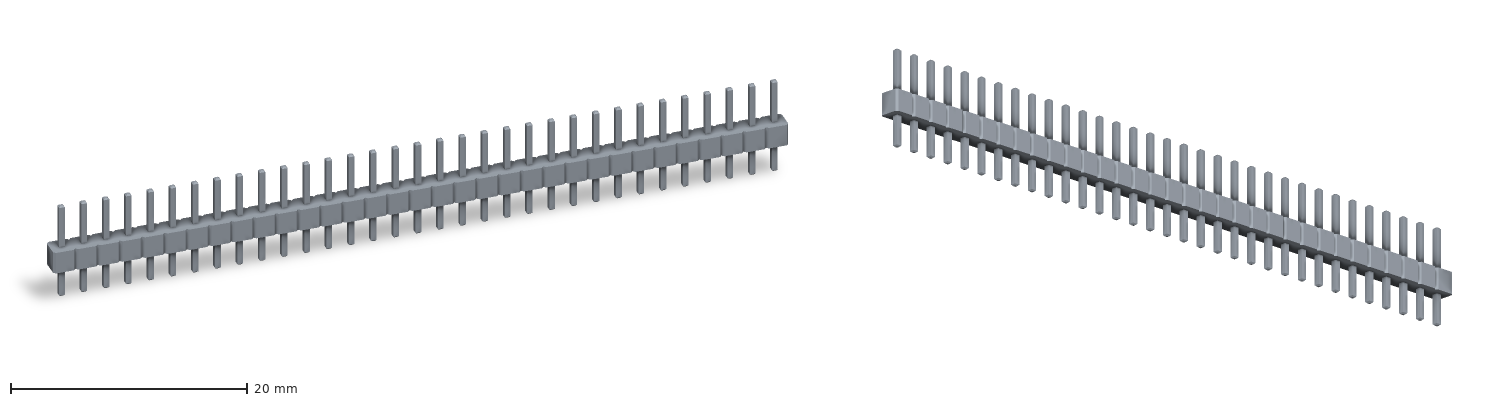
import cadquery as cq

pin_count = 33
row_length = 66.0
pitch = row_length / pin_count

body_width = pitch
body_height = pitch
corner_chamfer = 0.2

pin_width = pitch / 4
pin_above_body = 2 * pitch
pin_below_body = 1.4 * pitch
pin_length = pin_below_body + body_height + pin_above_body
tip_chamfer = 0.125

pin_centers = [(0, (i - (pin_count - 1) / 2) * pitch) for i in range(pin_count)]


def make_body():
    """Row of blocks whose chamfered upright corners leave V notches between neighbours."""
    side_x = body_width / 2
    notch_x = side_x - corner_chamfer
    half_flat = pitch / 2 - corner_chamfer
    outline = [(notch_x, -row_length / 2)]
    for _, center_y in pin_centers:
        outline += [
            (side_x, center_y - half_flat),
            (side_x, center_y + half_flat),
            (notch_x, center_y + pitch / 2),
        ]
    mirrored = [(-x, y) for x, y in reversed(outline)]
    return cq.Workplane("XY").polyline(outline + mirrored).close().extrude(body_height)


def make_pins():
    """Square pins with chamfered tips at both ends."""
    pin = (
        cq.Workplane("XY")
        .box(pin_width, pin_width, pin_length, centered=(True, True, False))
        .faces("<Z or >Z")
        .chamfer(tip_chamfer)
        .translate((0, 0, -pin_below_body))
    )
    return cq.Workplane("XY").pushPoints(pin_centers).eachpoint(pin.val(), combine=False)


result = make_body().union(make_pins())